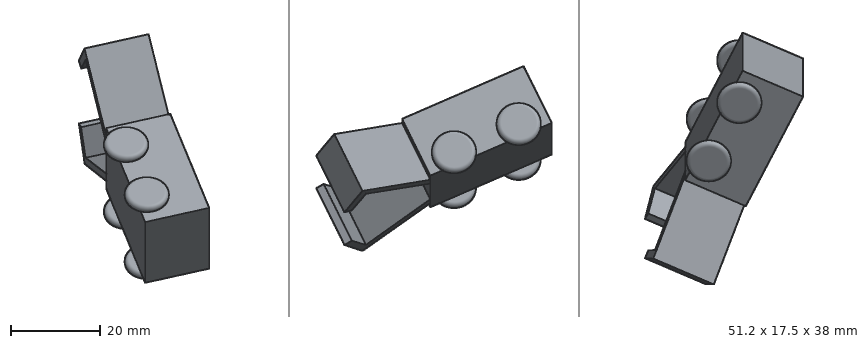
import cadquery as cq

housing_length = 30.0
housing_depth = 15.0
housing_height = 20.0
half_height = housing_height / 2

wheel_diameter = 10.0
wheel_thickness = 2.0
wheel_flat_diameter = wheel_diameter - wheel_thickness
wheel_end_offset = 7.0
wheel_center_y = 2.5
wheel_centers_x = (wheel_end_offset, housing_length - wheel_end_offset)

overall_length = 51.2
claw_span = 38.0
root_outer_z = 7.4
root_inner_z = 4.95
elbow_outer_x = -16.75
elbow_inner_x = -15.85
elbow_inner_z = 16.1
tip_outer_x = housing_length - overall_length
tip_outer_z = 10.3
tip_inner_x = -19.35
tip_inner_z = 9.6


def make_housing():
    return cq.Workplane("XY").box(
        housing_length, housing_depth, housing_height, centered=(False, False, True)
    )


def make_wheel(center_x, base_z):
    """Flat disc with a fully rounded rim, turned about a vertical axis."""
    flat_radius = wheel_flat_diameter / 2
    return (
        cq.Workplane("XZ")
        .lineTo(flat_radius, 0)
        .threePointArc(
            (wheel_diameter / 2, wheel_thickness / 2),
            (flat_radius, wheel_thickness),
        )
        .lineTo(0, wheel_thickness)
        .close()
        .revolve(360, (0, 0, 0), (0, 1, 0))
        .translate((center_x, wheel_center_y, base_z))
    )


def make_arm(side):
    """Bent claw arm; side is 1 for the upper arm and -1 for the lower one."""
    outline = [
        (0, side * root_outer_z),
        (elbow_outer_x, side * claw_span / 2),
        (tip_outer_x, side * tip_outer_z),
        (tip_inner_x, side * tip_inner_z),
        (elbow_inner_x, side * elbow_inner_z),
        (0, side * root_inner_z),
    ]
    return cq.Workplane("XZ").polyline(outline).close().extrude(-housing_depth)


housing = make_housing()
arms = [make_arm(side) for side in (1, -1)]
wheels = [
    make_wheel(center_x, base_z)
    for center_x in wheel_centers_x
    for base_z in (half_height, -half_height - wheel_thickness)
]

result = cq.Compound.makeCompound([body.val() for body in [housing, *arms, *wheels]])